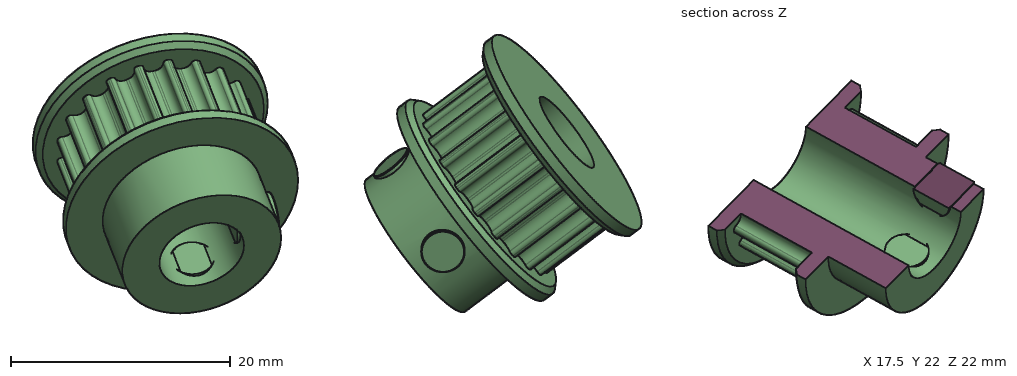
import cadquery as cq
import math


flange_radius = 10.98
flange_width = 1.52
flange_chamfer = 0.53

tooth_count = 20
tooth_tip_radius = 9.18
groove_root_radius = 8.0
belt_width = 7.97
groove_arc_radius = 0.83
groove_flat = 0.22
tooth_edge_radius = 0.35

hub_radius = 7.5
total_length = 17.5
bore_radius = 4.0

screw_radius = 2.0
screw_length = 4.0
screw_chamfer = 0.09
screw_outer_end = 7.7
screw_x = 14.35
screw_angles = (0, -90)

second_flange_x = flange_width + belt_width
hub_x = second_flange_x + flange_width
hub_length = total_length - hub_x
screw_inner_end = screw_outer_end - screw_length


def polar(radius, angle, centre=(0, 0)):
    """Point on a circle, at an angle in radians from its first axis towards its second."""
    return centre[0] + radius * math.cos(angle), centre[1] + radius * math.sin(angle)


def groove_points():
    """Points of half a groove, as (outward, sideways), from its flat root to the tooth tip.

    A concave arc rises from the root flat and meets a convex arc that rounds the tooth edge;
    the convex arc runs out tangent to the tip circle.
    """
    arc_centre = (groove_root_radius + groove_arc_radius, groove_flat / 2)
    centre_radius = math.hypot(*arc_centre)
    edge_centre_radius = tooth_tip_radius - tooth_edge_radius
    centre_distance = groove_arc_radius + tooth_edge_radius

    cosine = (centre_radius**2 + edge_centre_radius**2 - centre_distance**2) / (
        2 * centre_radius * edge_centre_radius
    )
    edge_angle = math.atan2(arc_centre[1], arc_centre[0]) + math.acos(cosine)
    edge_centre = polar(edge_centre_radius, edge_angle)

    touch_angle = math.atan2(edge_centre[1] - arc_centre[1], edge_centre[0] - arc_centre[0])
    root = polar(groove_arc_radius, math.pi, arc_centre)
    arc_middle = polar(groove_arc_radius, (math.pi + touch_angle) / 2, arc_centre)
    touch = polar(groove_arc_radius, touch_angle, arc_centre)
    edge_start_angle = touch_angle + math.pi
    edge_end_angle = edge_angle + 2 * math.pi
    edge_middle = polar(tooth_edge_radius, (edge_start_angle + edge_end_angle) / 2, edge_centre)
    tip = polar(tooth_tip_radius, edge_angle)
    return root, arc_middle, touch, edge_middle, tip


def placed(points, side, angle):
    """Half-groove points mirrored by side (1 or -1) and turned to a groove's angle."""
    return [
        (
            outward * math.cos(angle) - side * sideways * math.sin(angle),
            outward * math.sin(angle) + side * sideways * math.cos(angle),
        )
        for outward, sideways in points
    ]


def toothed_rim():
    """Rim between the flanges; its first groove lies on the +Y axis."""
    half_groove = groove_points()
    pitch_angle = 2 * math.pi / tooth_count

    outline = cq.Workplane("YZ", origin=(flange_width, 0, 0))
    outline = outline.moveTo(*placed(half_groove, -1, 0)[-1])
    for groove in range(tooth_count):
        angle = groove * pitch_angle

        root, arc_middle, touch, edge_middle, _ = placed(half_groove, -1, angle)
        outline = outline.threePointArc(edge_middle, touch).threePointArc(arc_middle, root)

        root, arc_middle, touch, edge_middle, tip = placed(half_groove, 1, angle)
        outline = outline.lineTo(*root)
        outline = outline.threePointArc(arc_middle, touch).threePointArc(edge_middle, tip)

        tooth_middle = polar(tooth_tip_radius, angle + pitch_angle / 2)
        next_tip = placed(half_groove, -1, angle + pitch_angle)[-1]
        outline = outline.threePointArc(tooth_middle, next_tip)
    return outline.close().extrude(belt_width)


def flange(start_x, belt_side):
    """Disc with a chamfer on the rim edge that faces the belt."""
    disc = cq.Workplane("YZ", origin=(start_x, 0, 0)).circle(flange_radius).extrude(flange_width)
    return disc.faces(belt_side).chamfer(flange_chamfer)


def screw_cylinder():
    """Cylinder along +Y, the shape of a set screw or its hole."""
    plane = cq.Plane(origin=(screw_x, screw_inner_end, 0), xDir=(1, 0, 0), normal=(0, 1, 0))
    return cq.Workplane(plane).circle(screw_radius).extrude(screw_length)


def turned(shape, angle):
    """Shape turned about the pulley axis, angle in degrees."""
    return shape.rotate((0, 0, 0), (1, 0, 0), angle)


def pulley_body():
    """Rim, flanges and hub in one piece, with the bore and a hole for each set screw."""
    hub = cq.Workplane("YZ", origin=(hub_x, 0, 0)).circle(hub_radius).extrude(hub_length)
    bore = cq.Workplane("YZ").circle(bore_radius).extrude(total_length)
    body = toothed_rim().union(flange(0, ">X")).union(flange(second_flange_x, "<X")).union(hub)
    body = body.cut(bore)
    for angle in screw_angles:
        body = body.cut(turned(screw_cylinder(), angle))
    return body


def set_screw(angle):
    """Screw that stands slightly out of the hub and reaches slightly into the bore."""
    screw = screw_cylinder().faces(">Y").chamfer(screw_chamfer)
    return turned(screw, angle)


pulley = pulley_body()
set_screws = [set_screw(angle) for angle in screw_angles]

result = cq.Compound.makeCompound([pulley.val(), *[screw.val() for screw in set_screws]])